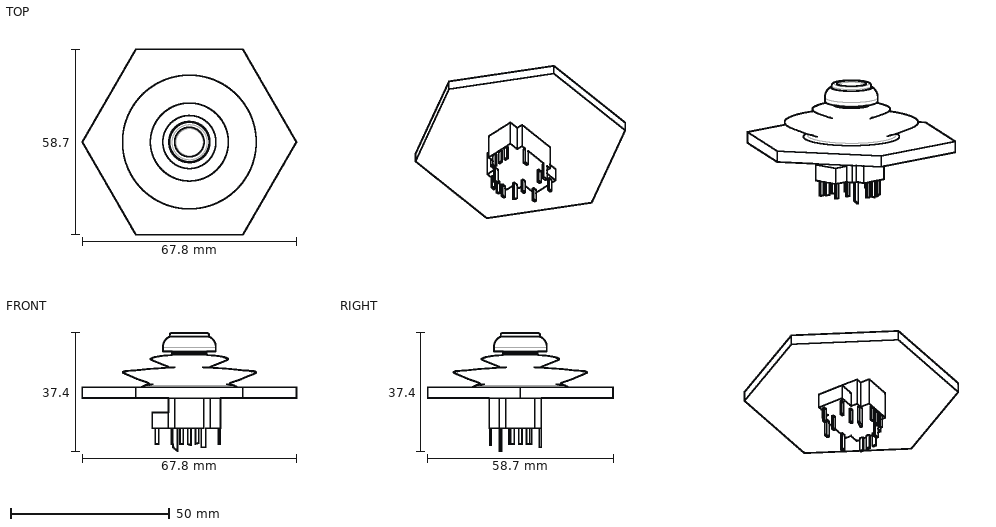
import cadquery as cq
import math


plate_width = 67.75
plate_thickness = 3.5

boot_foot_radius = 15.2
foot_shoulder_radius = 14.0
foot_shoulder_z = 4.1
lower_waist_radius = 12.8
lower_waist_z = 4.6
lower_skirt_radius = 21.15
lower_skirt_z = 8.2
upper_waist_radius = 6.7
upper_waist_z = 9.9
upper_skirt_radius = 12.3
upper_skirt_z = 12.4
rim_inset = 0.5
rim_rise = 0.35
rim_drop = 0.4
lower_crown = [(19.1, 8.75), (14.2, 9.15), (9.15, 9.55)]
upper_crown = [(10.6, 13.15), (7.8, 13.55)]
collar_radius = 5.55
collar_base_z = 13.7
collar_groove_z = 14.15
collar_groove_radius = 5.4

knob_bottom_z = 14.7
knob_top_z = 20.7
knob_radius = 8.4
knob_edge_fillet = 0.4
dome_start_z = 16.2
dome_top_radius = 6.5
dome_top_z = 19.4
cap_diameter = 12.55
cap_flat_diameter = 11.1
cap_radius = cap_diameter / 2
cap_round = (cap_diameter - cap_flat_diameter) / 2
recess_top_radius = 4.7
recess_depth = 0.35

case_width = 13.3
case_height = 9.55
pot_width = 9.2
pot_depth = 3.25
switch_width = 8.8
switch_depth = 5.15
switch_height = 5.1

pin_length = 4.95
pin_width = 1.15
pot_pin_thickness = 0.55
pot_pin_pitch = 2.45
pot_pin_inset = 0.44
middle_pin_slant = 0.4
end_pin_slant = 0.35
switch_pin_thickness = 0.7
switch_pin_spacing = 6.65
switch_pin_outer_x = -10.2
switch_pin_inner_x = -5.15
leg_length = 5.95
leg_width = 1.5
leg_thickness = 0.7
leg_x = 4.5
leg_slant = 1.2

case_half = case_width / 2
case_bottom_z = -case_height
pot_pin_offset = case_half + pot_depth - pot_pin_inset


def make_plate():
    return cq.Workplane("XY").polygon(6, plate_width).extrude(plate_thickness)


def skirt_points(waist_radius, waist_z, rim_radius, rim_z):
    """Profile points from a waist along the straight underside and round the rim of a skirt."""
    under_radius = rim_radius - rim_inset
    under_z = rim_z - rim_drop
    return [
        (waist_radius, waist_z),
        ((waist_radius * 3 + under_radius) / 4, (waist_z * 3 + under_z) / 4),
        ((waist_radius + under_radius * 3) / 4, (waist_z + under_z * 3) / 4),
        (under_radius, under_z),
        (rim_radius, rim_z),
        (rim_radius - rim_inset, rim_z + rim_rise),
    ]


def make_boot():
    bellows = [
        *skirt_points(lower_waist_radius, lower_waist_z, lower_skirt_radius, lower_skirt_z),
        *lower_crown,
        *skirt_points(upper_waist_radius, upper_waist_z, upper_skirt_radius, upper_skirt_z),
        *upper_crown,
        (collar_radius, collar_base_z),
    ]
    profile = (
        cq.Workplane("XZ")
        .moveTo(0, plate_thickness)
        .lineTo(boot_foot_radius, plate_thickness)
        .lineTo(foot_shoulder_radius, foot_shoulder_z)
        .spline(bellows, includeCurrent=True)
        .lineTo(collar_radius, collar_groove_z)
        .threePointArc(
            (collar_groove_radius, (collar_groove_z + knob_bottom_z) / 2),
            (collar_radius, knob_bottom_z),
        )
        .lineTo(0, knob_bottom_z)
        .close()
    )
    return profile.revolve(360, (0, 0, 0), (0, 1, 0))


def make_knob():
    corner = math.sqrt(0.5)
    edge_point = knob_edge_fillet * (1 - corner)
    recess_point = recess_depth * (1 - corner)
    cap_point = cap_round * (1 - corner)
    profile = (
        cq.Workplane("XZ")
        .moveTo(0, knob_bottom_z)
        .lineTo(knob_radius - knob_edge_fillet, knob_bottom_z)
        .threePointArc(
            (knob_radius - edge_point, knob_bottom_z + edge_point),
            (knob_radius, knob_bottom_z + knob_edge_fillet),
        )
        .lineTo(knob_radius, dome_start_z)
        .tangentArcPoint((dome_top_radius, dome_top_z), relative=False)
        .lineTo(cap_radius, dome_top_z)
        .lineTo(cap_radius, knob_top_z - cap_round)
        .threePointArc(
            (cap_radius - cap_point, knob_top_z - cap_point),
            (cap_radius - cap_round, knob_top_z),
        )
        .lineTo(recess_top_radius, knob_top_z)
        .threePointArc(
            (recess_top_radius - recess_point, knob_top_z - recess_depth + recess_point),
            (recess_top_radius - recess_depth, knob_top_z - recess_depth),
        )
        .lineTo(0, knob_top_z - recess_depth)
        .close()
    )
    return profile.revolve(360, (0, 0, 0), (0, 1, 0))


def make_block(size_x, size_y, height, x=0.0, y=0.0):
    """Upright block standing on the bottom plane of the case."""
    return (
        cq.Workplane("XY", origin=(x, y, case_bottom_z))
        .rect(size_x, size_y)
        .extrude(height)
    )


def make_terminal(x, y, size_x, size_y, length, slant=0.0):
    """Flat terminal below the case; its +X edge is longer than its -X edge by slant."""
    half = size_x / 2
    outline = [
        (x - half, case_bottom_z),
        (x + half, case_bottom_z),
        (x + half, case_bottom_z - length - slant),
        (x - half, case_bottom_z - length),
    ]
    return (
        cq.Workplane("XZ", origin=(0, y + size_y / 2, 0))
        .polyline(outline)
        .close()
        .extrude(size_y)
    )


def make_joystick():
    pot_centre = case_half + pot_depth / 2
    switch_centre = -case_half - switch_depth / 2
    base = make_block(case_width, case_width, case_height)
    base = base.union(make_block(pot_width, pot_depth, case_height, y=-pot_centre))
    base = base.union(make_block(pot_depth, pot_width, case_height, x=pot_centre))
    base = base.union(make_block(switch_depth, switch_width, switch_height, x=switch_centre))

    front_slants = [0.0, middle_pin_slant, -end_pin_slant]
    for i, slant in enumerate(front_slants):
        along = (i - 1) * pot_pin_pitch
        base = base.union(
            make_terminal(along, -pot_pin_offset, pin_width, pot_pin_thickness, pin_length, slant)
        )
        base = base.union(
            make_terminal(pot_pin_offset, along, pot_pin_thickness, pin_width, pin_length)
        )

    for x in (switch_pin_outer_x, switch_pin_inner_x):
        for side in (-1, 1):
            y = side * switch_pin_spacing / 2
            base = base.union(make_terminal(x, y, pin_width, switch_pin_thickness, pin_length))

    leg_y = case_half - leg_thickness / 2
    for x_side in (-1, 1):
        for y_side in (-1, 1):
            pointed = x_side < 0 and y_side < 0
            slant = leg_slant if pointed else 0.0
            base = base.union(
                make_terminal(x_side * leg_x, y_side * leg_y, leg_width, leg_thickness, leg_length, slant)
            )
    return base


plate = make_plate()
boot = make_boot()
knob = make_knob()
joystick = make_joystick()

result = cq.Compound.makeCompound([plate.val(), boot.val(), knob.val(), joystick.val()])